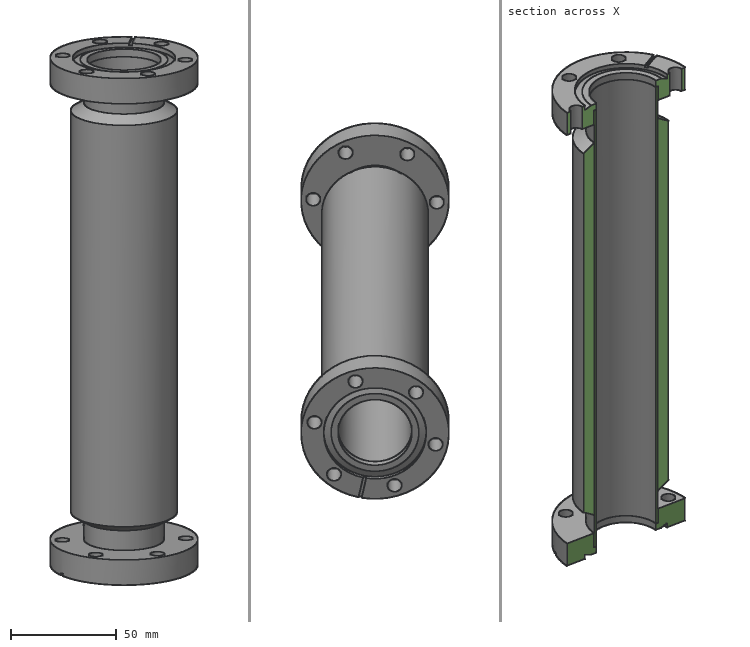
import cadquery as cq

TOTAL_LENGTH = 250.0

FLANGE_RADIUS = 35.0
FLANGE_THICKNESS = 12.5
BORE_RADIUS = 17.5
BOLT_COUNT = 6
BOLT_CIRCLE_RADIUS = 29.2
BOLT_HOLE_DIAMETER = 6.8
LOWER_FLANGE_TURN = 10.0

RECESS_RADIUS = 24.2
RECESS_DEPTH = 2.2
KNIFE_EDGE_RADIUS = 20.8
KNIFE_EDGE_DROP = 1.0

GROOVE_WIDTH = 1.5
GROOVE_DEPTH = 1.0
GROOVE_ANGLE = 120.0

TUBE_RADIUS = 19.0
TUBE_END_INSET = 4.8

SLEEVE_RADIUS = 25.2
SLEEVE_END_INSET = 22.2
SLEEVE_BEVEL_LENGTH = 3.8


def ring(inner_radius, outer_radius, bottom, top):
    """Tube-shaped solid around the Z axis."""
    return (
        cq.Workplane("XY", origin=(0, 0, bottom))
        .circle(outer_radius)
        .circle(inner_radius)
        .extrude(top - bottom)
    )


def sealing_recess():
    """Cutter for the recess whose sloping floor rises inward to the knife edge; face at Z = 0."""
    return (
        cq.Workplane("XZ")
        .moveTo(0, 0)
        .lineTo(RECESS_RADIUS, 0)
        .lineTo(RECESS_RADIUS, -RECESS_DEPTH)
        .lineTo(KNIFE_EDGE_RADIUS, -KNIFE_EDGE_DROP)
        .lineTo(0, -KNIFE_EDGE_DROP)
        .close()
        .revolve(360, (0, 0, 0), (0, 1, 0))
    )


def leak_groove():
    """Cutter for the radial groove in the sealing face; face at Z = 0."""
    start = (KNIFE_EDGE_RADIUS + RECESS_RADIUS) / 2
    return (
        cq.Workplane("XY")
        .box(FLANGE_RADIUS, GROOVE_WIDTH, GROOVE_DEPTH, centered=(False, True, False))
        .translate((start, 0, -GROOVE_DEPTH))
        .rotate((0, 0, 0), (0, 0, 1), GROOVE_ANGLE)
    )


def make_flange():
    """Flange with its sealing face upward at Z = 0."""
    flange = ring(BORE_RADIUS, FLANGE_RADIUS, -FLANGE_THICKNESS, 0)
    tube_socket = ring(BORE_RADIUS, TUBE_RADIUS, -FLANGE_THICKNESS, -TUBE_END_INSET)
    bolt_holes = (
        cq.Workplane("XY")
        .polarArray(BOLT_CIRCLE_RADIUS, 90, 360, BOLT_COUNT)
        .circle(BOLT_HOLE_DIAMETER / 2)
        .extrude(-FLANGE_THICKNESS)
    )
    return flange.cut(tube_socket).cut(bolt_holes).cut(sealing_recess()).cut(leak_groove())


def make_tube():
    """Straight tube running between the two flange sockets."""
    return ring(BORE_RADIUS, TUBE_RADIUS, TUBE_END_INSET, TOTAL_LENGTH - TUBE_END_INSET)


def make_sleeve():
    """Sleeve around the tube, bevelled at both ends down to the tube surface."""
    bottom = SLEEVE_END_INSET
    top = TOTAL_LENGTH - SLEEVE_END_INSET
    return (
        cq.Workplane("XZ")
        .moveTo(TUBE_RADIUS, bottom)
        .lineTo(SLEEVE_RADIUS, bottom + SLEEVE_BEVEL_LENGTH)
        .lineTo(SLEEVE_RADIUS, top - SLEEVE_BEVEL_LENGTH)
        .lineTo(TUBE_RADIUS, top)
        .close()
        .revolve(360, (0, 0, 0), (0, 1, 0))
    )


upper_flange = make_flange().translate((0, 0, TOTAL_LENGTH))
lower_flange = (
    make_flange()
    .rotate((0, 0, 0), (1, 0, 0), 180)
    .rotate((0, 0, 0), (0, 0, 1), LOWER_FLANGE_TURN)
)
tube = make_tube()
sleeve = make_sleeve()

result = cq.Compound.makeCompound(
    [upper_flange.val(), lower_flange.val(), tube.val(), sleeve.val()]
)